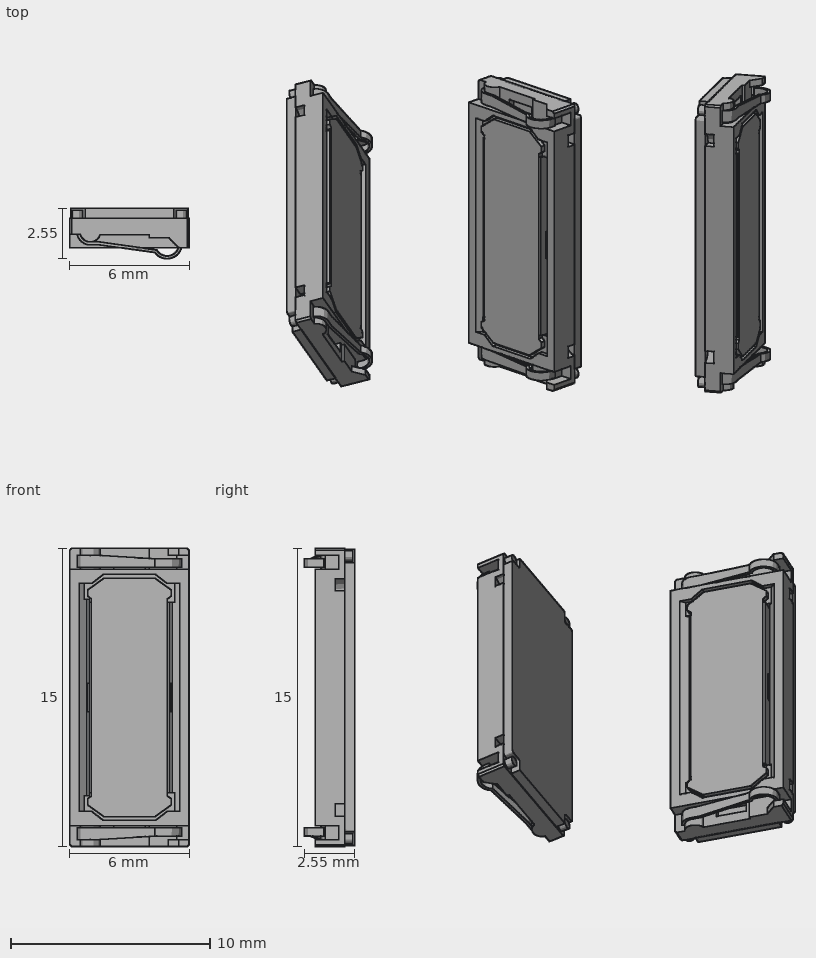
import cadquery as cq
import math

WIDTH = 6.0
HEIGHT = 15.0
HALF_WIDTH = WIDTH / 2
HALF_HEIGHT = HEIGHT / 2
BODY_DEPTH = 1.5
CORNER_CHAMFER = 0.1

COVER_THICKNESS = 0.5
COVER_MARGIN = 0.05
COVER_NOTCH_WIDTH = 0.73
COVER_NOTCH_HEIGHT = 0.69
COVER_FILLET = 0.13
PIN_RADIUS = 0.26
PIN_LENGTH = 0.4
PIN_X = 2.61
PIN_Z = 7.1

BAY_FLOOR_Z = 6.45
EAR_THICKNESS = 0.36
EAR_Z = HALF_HEIGHT - EAR_THICKNESS
BAY_LEFT_Y = 0.69
BAY_RIGHT_Y = 1.2
BAY_WALL_Y = 0.66
BAY_STEP_Y = 0.52
BAY_STEP_X = 1.0
BAY_STEP_END_X = 2.37
EAR_SLOPE_X = 1.96
EAR_TIP_X = EAR_SLOPE_X + BAY_STEP_Y
BOSS_X = -1.97
BOSS_Y = 0.82
BOSS_RADIUS = 0.52
RECESS_HALF_WIDTH = 0.79
RECESS_DEPTH = 0.32
RECESS_TOP_Z = 7.0

STRIP = 0.15
SPRING_BOTTOM_Z = 6.54
SPRING_TIP_Z = 6.97
FOOT_END_X = -1.5
ARM_SLOPE = 0.14
HOOK_X = 1.89
HOOK_RADIUS = 0.75
HOOK_REACH = 0.55
HOOK_END_Y = 0.45

WINDOW_HALF_WIDTH = 2.52
WINDOW_HALF_HEIGHT = 5.73
WALL_RUN = 0.375
GROOVE_DEPTH = 1.0
LEFT_GROOVE_HALF_HEIGHT = 4.94
RIGHT_GROOVE_HALF_HEIGHT = 4.785
SHELF_DEPTH = 0.25
DIAPHRAGM_SIDE_X = 1.91
DIAPHRAGM_BASE_X = 2.02
DIAPHRAGM_TOP_X = 1.27
DIAPHRAGM_TOP_Z = 6.0
DIAPHRAGM_CORNER_X = 1.85
DIAPHRAGM_CORNER_Z = 5.58
DIAPHRAGM_SIDE_Z = 4.95
DIAPHRAGM_BEVEL = 0.05
LOBE_X = 2.1
LOBE_TOP_Z = 5.4
LOBE_BOTTOM_Z = 5.09
CHANNEL_WIDTH = 0.18
CHANNEL_TOP_X = 1.31
CHANNEL_CORNER_X = 1.89
BUMP_HALF_HEIGHT = 0.71
BUMP_Y = 0.4
BUMP_WIDTH = 0.09

POCKET_DEPTH = 0.62
POCKET_TOP_Z = 5.97
POCKET_HEIGHT = 0.62
POCKET_FRONT_Y = 1.02
POCKET_FILLET = 0.6


def block(x0, x1, y0, y1, z0, z1):
    """Box between two opposite corners."""
    return cq.Workplane("XY").box(x1 - x0, y1 - y0, z1 - z0, centered=False).translate((x0, y0, z0))


def plate(outline, y0, y1):
    """Closed outline of (x, z) points extruded from y0 to y1."""
    return cq.Workplane("XZ", origin=(0, y0, 0)).polyline(outline).close().extrude(y0 - y1)


def layer(outline, z0, z1):
    """Closed outline of (x, y) points extruded from z0 to z1."""
    return cq.Workplane("XY").workplane(offset=z0).polyline(outline).close().extrude(z1 - z0)


def both_ends(shape):
    """Shape joined with its mirror image at the opposite Z end."""
    return shape.union(shape.mirror("XY"))


def mirrored_outline(quarter):
    """Full outline from the quarter in +X, +Z, listed from the top edge to the side."""
    right = quarter + [(x, -z) for x, z in reversed(quarter)]
    return right + [(-x, z) for x, z in reversed(right)]


def make_body():
    body = block(-HALF_WIDTH, HALF_WIDTH, 0, BODY_DEPTH, -HALF_HEIGHT, HALF_HEIGHT)
    return body.edges("|Y").chamfer(CORNER_CHAMFER)


def bay_cut():
    """Space cleared in front of the stepped wall, leaving the thin ear at the end."""
    behind_ear = [
        (-HALF_WIDTH, 0),
        (-HALF_WIDTH, BAY_LEFT_Y),
        (BOSS_X, BAY_LEFT_Y),
        (BOSS_X, BAY_WALL_Y),
        (BAY_STEP_X, BAY_WALL_Y),
        (BAY_STEP_X, BAY_STEP_Y),
        (BAY_STEP_END_X, BAY_STEP_Y),
        (BAY_STEP_END_X, BAY_RIGHT_Y),
        (HALF_WIDTH, BAY_RIGHT_Y),
        (HALF_WIDTH, 0),
    ]
    beside_ear = behind_ear[:6] + [(EAR_SLOPE_X, BAY_STEP_Y), (EAR_TIP_X, 0)]
    cut = layer(behind_ear, BAY_FLOOR_Z, EAR_Z).union(layer(beside_ear, EAR_Z, HALF_HEIGHT))
    recess = block(
        -RECESS_HALF_WIDTH, RECESS_HALF_WIDTH,
        BAY_WALL_Y, BAY_WALL_Y + RECESS_DEPTH,
        BAY_FLOOR_Z, RECESS_TOP_Z,
    )
    return cut.union(recess)


def make_boss():
    """Round post that the spring curls around."""
    post = cq.Workplane("XY").workplane(offset=BAY_FLOOR_Z).center(BOSS_X, BOSS_Y)
    return post.circle(BOSS_RADIUS).extrude(HALF_HEIGHT - BAY_FLOOR_Z)


def arm_meets_hook(foot_y, radius, centre_y):
    """Point where the sloping arm line first crosses a hook circle."""
    drop = foot_y - ARM_SLOPE * (HOOK_X - FOOT_END_X) - centre_y
    a = 1 + ARM_SLOPE ** 2
    half_b = -drop * ARM_SLOPE
    c = drop ** 2 - radius ** 2
    dx = (-half_b - math.sqrt(half_b ** 2 - a * c)) / a
    return HOOK_X + dx, centre_y + drop - ARM_SLOPE * dx


def make_spring():
    """Bent strip: curl on the boss, flat foot, sloping arm and rounded hook."""
    curl_outer = BOSS_RADIUS + STRIP
    outer_foot_y = BOSS_Y - curl_outer
    inner_foot_y = BOSS_Y - BOSS_RADIUS
    hook_y = HOOK_RADIUS - HOOK_REACH
    hook_inner = HOOK_RADIUS - STRIP
    outer_bend = arm_meets_hook(outer_foot_y, HOOK_RADIUS, hook_y)
    inner_bend = arm_meets_hook(inner_foot_y, hook_inner, hook_y)
    diagonal = math.sqrt(0.5)

    strip = (
        cq.Workplane("XY")
        .workplane(offset=SPRING_BOTTOM_Z)
        .moveTo(BOSS_X - curl_outer, BOSS_Y)
        .threePointArc(
            (BOSS_X - curl_outer * diagonal, BOSS_Y - curl_outer * diagonal), (BOSS_X, outer_foot_y)
        )
        .lineTo(FOOT_END_X, outer_foot_y)
        .lineTo(*outer_bend)
        .threePointArc((HOOK_X, -HOOK_REACH), (HOOK_X + HOOK_RADIUS, hook_y))
        .lineTo(HOOK_X + HOOK_RADIUS, HOOK_END_Y)
        .lineTo(HOOK_X + hook_inner, HOOK_END_Y)
        .lineTo(HOOK_X + hook_inner, hook_y)
        .threePointArc((HOOK_X, hook_y - hook_inner), inner_bend)
        .lineTo(FOOT_END_X, inner_foot_y)
        .lineTo(BOSS_X, inner_foot_y)
        .threePointArc(
            (BOSS_X - BOSS_RADIUS * diagonal, BOSS_Y - BOSS_RADIUS * diagonal),
            (BOSS_X - BOSS_RADIUS, BOSS_Y),
        )
        .close()
        .extrude(EAR_Z - SPRING_BOTTOM_Z)
    )
    tapered_side = [
        (-HALF_WIDTH, SPRING_BOTTOM_Z),
        (-HALF_WIDTH, EAR_Z),
        (FOOT_END_X, EAR_Z),
        (outer_bend[0], SPRING_TIP_Z),
        (HALF_WIDTH, SPRING_TIP_Z),
        (HALF_WIDTH, SPRING_BOTTOM_Z),
    ]
    return strip.intersect(plate(tapered_side, -HOOK_REACH, BODY_DEPTH))


def groove_cut(half_height):
    """Deep groove along the +X side of the diaphragm, around a small raised bump."""
    groove_x = WINDOW_HALF_WIDTH - WALL_RUN
    section = [
        (DIAPHRAGM_BASE_X, 0),
        (WINDOW_HALF_WIDTH, 0),
        (groove_x, WALL_RUN),
        (groove_x, GROOVE_DEPTH),
        (DIAPHRAGM_BASE_X, GROOVE_DEPTH),
    ]
    bump = block(
        DIAPHRAGM_BASE_X, DIAPHRAGM_BASE_X + BUMP_WIDTH,
        BUMP_Y, GROOVE_DEPTH,
        -BUMP_HALF_HEIGHT, BUMP_HALF_HEIGHT,
    )
    return layer(section, -half_height, half_height).cut(bump)


def window_cut():
    """Window with sloping long walls, a channel around the diaphragm and deep side grooves."""
    shelf_x = WINDOW_HALF_WIDTH - SHELF_DEPTH
    sloped_section = [
        (-WINDOW_HALF_WIDTH, 0),
        (-shelf_x, SHELF_DEPTH),
        (shelf_x, SHELF_DEPTH),
        (WINDOW_HALF_WIDTH, 0),
    ]
    channel = mirrored_outline([
        (CHANNEL_TOP_X, DIAPHRAGM_TOP_Z + CHANNEL_WIDTH),
        (CHANNEL_CORNER_X, WINDOW_HALF_HEIGHT),
    ])
    return (
        layer(sloped_section, -WINDOW_HALF_HEIGHT, WINDOW_HALF_HEIGHT)
        .union(plate(channel, 0, SHELF_DEPTH))
        .union(groove_cut(RIGHT_GROOVE_HALF_HEIGHT))
        .union(groove_cut(LEFT_GROOVE_HALF_HEIGHT).mirror("YZ"))
    )


def make_diaphragm():
    """Raised panel with sloped corners, a lobe near each corner and bevelled long sides."""
    outline = mirrored_outline([
        (DIAPHRAGM_TOP_X, DIAPHRAGM_TOP_Z),
        (DIAPHRAGM_CORNER_X, DIAPHRAGM_CORNER_Z),
        (LOBE_X, LOBE_TOP_Z),
        (LOBE_X, LOBE_BOTTOM_Z),
        (DIAPHRAGM_SIDE_X, DIAPHRAGM_SIDE_Z),
    ])
    panel = plate(outline, 0, SHELF_DEPTH)
    side = [
        (-DIAPHRAGM_SIDE_X, 0),
        (-DIAPHRAGM_BASE_X, DIAPHRAGM_BEVEL),
        (-DIAPHRAGM_BASE_X, SHELF_DEPTH),
        (DIAPHRAGM_BASE_X, SHELF_DEPTH),
        (DIAPHRAGM_BASE_X, DIAPHRAGM_BEVEL),
        (DIAPHRAGM_SIDE_X, 0),
    ]
    return panel.union(layer(side, -RIGHT_GROOVE_HALF_HEIGHT, RIGHT_GROOVE_HALF_HEIGHT))


def side_pockets():
    """Four pockets, each with its floor rounded up towards the nearer body end."""
    upper = block(
        -HALF_WIDTH, -HALF_WIDTH + POCKET_DEPTH,
        POCKET_FRONT_Y, BODY_DEPTH,
        POCKET_TOP_Z - POCKET_HEIGHT, POCKET_TOP_Z,
    )
    left = both_ends(upper.edges(">X and >Z").fillet(POCKET_FILLET))
    return left.union(left.mirror("YZ"))


def make_cover():
    """Rear cover with its four corners notched around the locating pins."""
    half_width = HALF_WIDTH - COVER_MARGIN
    half_height = HALF_HEIGHT - COVER_MARGIN
    rear_y = BODY_DEPTH + COVER_THICKNESS
    notch_x = half_width - COVER_NOTCH_WIDTH
    notch_z = half_height - COVER_NOTCH_HEIGHT
    outline = mirrored_outline([(notch_x, half_height), (notch_x, notch_z), (half_width, notch_z)])
    cover = plate(outline, BODY_DEPTH, rear_y)
    outer_corners = "|Y and (<X or >X)"
    inner_corners = cq.selectors.BoxSelector(
        (-PIN_X, BODY_DEPTH, -notch_z - COVER_MARGIN), (PIN_X, rear_y, notch_z + COVER_MARGIN)
    )
    cover = cover.edges(outer_corners).fillet(COVER_FILLET)
    cover = cover.edges("|Y").edges(inner_corners).fillet(COVER_FILLET)
    for x in (-PIN_X, PIN_X):
        pin = cq.Workplane("XZ", origin=(x, BODY_DEPTH, PIN_Z)).circle(PIN_RADIUS).extrude(-PIN_LENGTH)
        cover = cover.union(both_ends(pin))
    return cover


result = (
    make_body()
    .cut(both_ends(bay_cut()))
    .union(both_ends(make_boss()))
    .cut(window_cut())
    .union(make_diaphragm())
    .cut(side_pockets())
    .union(make_cover())
    .union(both_ends(make_spring()))
)